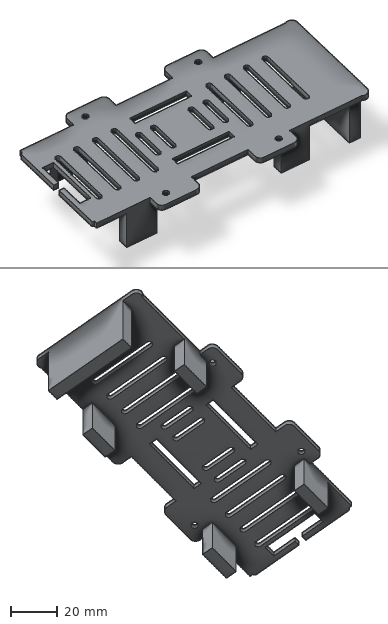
import cadquery as cq
import math

PLATE_LENGTH = 147.0
PLATE_THICKNESS = 3.0
TOTAL_HEIGHT = 33.0
PANEL_WIDTH = 57.3
NECK_WIDTH = 56.5

TAB_SPAN = 72.5
TAB_RADIUS = 3.0
REAR_TAB_FRONT = 82.0
REAR_TAB_BACK = 104.0
FRONT_TAB_FRONT = 29.5
FRONT_TAB_BACK = 51.9

HOLE_DIAMETER = 3.1
HOLE_X = 30.1
HOLE_ROWS = (36.9, 97.0)

REAR_CORNER_RADIUS = 3.0
REAR_CORNER_SPAN = 58.2
FRONT_CORNER_RADIUS = 1.0
FRONT_LIP_WIDTH = 54.1

VENT_WIDTH = 3.0
LONG_VENT_LENGTH = 33.2
LONG_VENT_PITCH = 10.0
LONG_VENTS_PER_GROUP = 4
LONG_VENT_GROUP_STARTS = (11.8, 92.2)
SHORT_VENT_LENGTH = 17.0
SHORT_VENT_PITCH = 8.0
SHORT_VENTS_PER_GROUP = 2
SHORT_VENT_GROUP_STARTS = (49.0, 77.0)

STRAP_SLOT_INNER_X = 14.0
STRAP_SLOT_OUTER_X = 18.0

CABLE_HALF_WIDTH = 14.0
CABLE_FRONT = 2.6
CABLE_BACK = 8.4
ENTRY_WIDTH = 4.0

LEG_WIDTH = 5.5
LEG_DROP = 19.8
FRONT_LEG_RANGE = (17.0, 33.2)
REAR_LEG_RANGE = (99.4, 114.5)
WALL_WIDTH = 42.0
WALL_THICKNESS = 5.9


def block(x_range, y_range, z_range):
    """Box filling the given X, Y and Z ranges."""
    sizes = [high - low for low, high in (x_range, y_range, z_range)]
    origin = (x_range[0], y_range[0], z_range[0])
    return cq.Workplane("XY").box(*sizes, centered=False).translate(origin)


def plate_block(width, y_front, y_back):
    """Centred piece of the plate, full thickness."""
    return block((-width / 2, width / 2), (y_front, y_back), (0, PLATE_THICKNESS))


def rear_panel():
    """Rear panel whose round corners bulge slightly past its sides."""
    corner_x = REAR_CORNER_SPAN / 2 - REAR_CORNER_RADIUS
    corner_y = PLATE_LENGTH - REAR_CORNER_RADIUS
    panel = plate_block(PANEL_WIDTH, REAR_TAB_FRONT, corner_y)
    panel = panel.union(plate_block(2 * corner_x, corner_y, PLATE_LENGTH))
    corners = (
        cq.Workplane("XY")
        .pushPoints([(-corner_x, corner_y), (corner_x, corner_y)])
        .circle(REAR_CORNER_RADIUS)
        .extrude(PLATE_THICKNESS)
    )
    return panel.union(corners)


def front_panel():
    """Front panel ending in a narrower lip with quarter-round corners."""
    half_panel = PANEL_WIDTH / 2
    half_lip = FRONT_LIP_WIDTH / 2
    radius = FRONT_CORNER_RADIUS
    arc_inset = radius * (1 - math.sqrt(0.5))
    return (
        cq.Workplane("XY")
        .moveTo(-half_panel, FRONT_TAB_BACK)
        .lineTo(-half_panel, radius)
        .lineTo(-half_lip, radius)
        .threePointArc((-half_lip + arc_inset, arc_inset), (-half_lip + radius, 0))
        .lineTo(half_lip - radius, 0)
        .threePointArc((half_lip - arc_inset, arc_inset), (half_lip, radius))
        .lineTo(half_panel, radius)
        .lineTo(half_panel, FRONT_TAB_BACK)
        .close()
        .extrude(PLATE_THICKNESS)
    )


def tab_bar(y_front, y_back):
    """Bar across the plate that forms a pair of rounded tabs."""
    return plate_block(TAB_SPAN, y_front, y_back).edges("|Z").fillet(TAB_RADIUS)


def vents(length, pitch, count, group_starts):
    """Cutters for groups of evenly spaced round-ended slots."""
    centres = [(0, start + i * pitch) for start in group_starts for i in range(count)]
    return cq.Workplane("XY").pushPoints(centres).slot2D(length, VENT_WIDTH).extrude(PLATE_THICKNESS)


def mounting_holes():
    centres = [(x, y) for x in (-HOLE_X, HOLE_X) for y in HOLE_ROWS]
    return cq.Workplane("XY").pushPoints(centres).circle(HOLE_DIAMETER / 2).extrude(PLATE_THICKNESS)


def strap_slots():
    slot = block(
        (STRAP_SLOT_INNER_X, STRAP_SLOT_OUTER_X),
        (FRONT_TAB_BACK, REAR_TAB_FRONT),
        (0, PLATE_THICKNESS),
    )
    return slot.union(slot.mirror("YZ"))


def cable_opening():
    opening = plate_block(2 * CABLE_HALF_WIDTH, CABLE_FRONT, CABLE_BACK)
    return opening.union(plate_block(ENTRY_WIDTH, 0, CABLE_BACK))


def leg_pair(y_range):
    """Two legs flush with the panel sides, reaching up into the plate."""
    outer_x = PANEL_WIDTH / 2
    leg = block((outer_x - LEG_WIDTH, outer_x), y_range, (-LEG_DROP, PLATE_THICKNESS))
    return leg.union(leg.mirror("YZ"))


def rear_wall():
    return block(
        (-WALL_WIDTH / 2, WALL_WIDTH / 2),
        (PLATE_LENGTH - WALL_THICKNESS, PLATE_LENGTH),
        (PLATE_THICKNESS - TOTAL_HEIGHT, PLATE_THICKNESS),
    )


plate = rear_panel().union(front_panel())
plate = plate.union(plate_block(NECK_WIDTH, FRONT_TAB_BACK, REAR_TAB_FRONT))
plate = plate.union(tab_bar(FRONT_TAB_FRONT, FRONT_TAB_BACK))
plate = plate.union(tab_bar(REAR_TAB_FRONT, REAR_TAB_BACK))

plate = plate.cut(vents(LONG_VENT_LENGTH, LONG_VENT_PITCH, LONG_VENTS_PER_GROUP, LONG_VENT_GROUP_STARTS))
plate = plate.cut(vents(SHORT_VENT_LENGTH, SHORT_VENT_PITCH, SHORT_VENTS_PER_GROUP, SHORT_VENT_GROUP_STARTS))
plate = plate.cut(mounting_holes())
plate = plate.cut(strap_slots())
plate = plate.cut(cable_opening())

result = plate.union(leg_pair(FRONT_LEG_RANGE)).union(leg_pair(REAR_LEG_RANGE)).union(rear_wall())